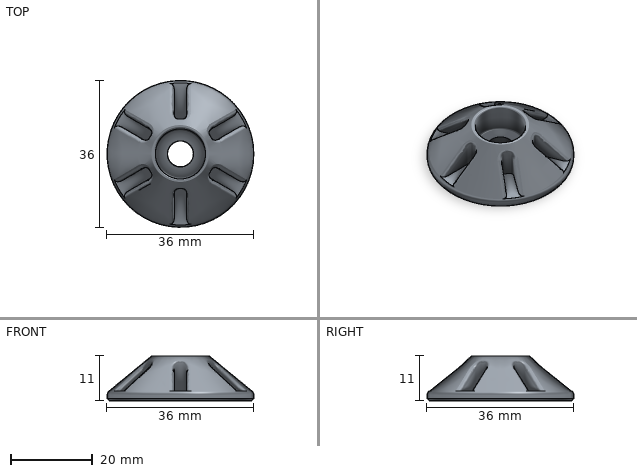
import cadquery as cq
import math

outer_radius = 18.0
height = 11.0

bottom_chamfer = 0.6
shoulder_height = 2.4
shoulder_radius = 17.5

cone_top_radius = 7.02
rim_outer_round = 0.32
rim_inner_round = 0.45

bore_radius = 12.3 / 2
bore_floor_height = 4.0
bore_floor_round = 0.45
hole_radius = 6.3 / 2

slot_count = 6
slot_floor_height = 2.5
slot_start_angle = 90.0
slot_width = 3.0
slot_inner_radius = 8.55
slot_corner_radius = 1.0
slot_edge_round = 1.0

trim_depth = 2.88
tolerance = 0.005
cone_slope = (shoulder_radius - cone_top_radius) / (height - shoulder_height)
slot_floor_rim_radius = shoulder_radius - cone_slope * (slot_floor_height - shoulder_height)

shoulder_arc_angle = math.atan(cone_slope)
shoulder_round = (outer_radius - shoulder_radius) / (1 - math.cos(shoulder_arc_angle))


def make_bore():
    """Through hole and counterbore, with a rounded floor corner and a flared rim."""
    floor_round_end = bore_floor_height + bore_floor_round
    rim_round_start = height - rim_inner_round
    return (
        cq.Workplane("XZ")
        .lineTo(hole_radius, 0)
        .lineTo(hole_radius, bore_floor_height)
        .lineTo(bore_radius - bore_floor_round, bore_floor_height)
        .radiusArc((bore_radius, floor_round_end), -bore_floor_round)
        .lineTo(bore_radius, rim_round_start)
        .radiusArc((bore_radius + rim_inner_round, height), rim_inner_round)
        .lineTo(0, height)
        .close()
        .revolve(360, (0, 0), (0, 1))
    )


def make_disc():
    """Base disc up to the slot floors, with a bottom chamfer and a rounded shoulder."""
    arc_center_radius = outer_radius - shoulder_round
    arc_start_height = shoulder_height - shoulder_round * math.sin(shoulder_arc_angle)
    arc_middle = (
        arc_center_radius + shoulder_round * math.cos(shoulder_arc_angle / 2),
        arc_start_height + shoulder_round * math.sin(shoulder_arc_angle / 2),
    )
    return (
        cq.Workplane("XZ")
        .lineTo(outer_radius - bottom_chamfer, 0)
        .lineTo(outer_radius, bottom_chamfer)
        .lineTo(outer_radius, arc_start_height)
        .threePointArc(arc_middle, (shoulder_radius, shoulder_height))
        .lineTo(slot_floor_rim_radius, slot_floor_height)
        .lineTo(0, slot_floor_height)
        .close()
        .revolve(360, (0, 0), (0, 1))
    )


def make_slot_cutter(angle):
    """Vertical prism open at the outside, with rounded inner corners."""
    length = 2 * outer_radius
    return (
        cq.Workplane("XY", origin=(0, 0, shoulder_height - 2 * trim_depth))
        .center(slot_inner_radius + length / 2, 0)
        .rect(length, slot_width)
        .extrude(2 * height)
        .edges("|Z and <X")
        .fillet(slot_corner_radius)
        .rotate((0, 0, 0), (0, 0, 1), angle)
    )


def make_slotted_cone():
    """Bored cone with a rounded top edge and rounded slots, trimmed at the slot floor."""
    low_height = shoulder_height - trim_depth
    low_radius = shoulder_radius + trim_depth * cone_slope
    cone = (
        cq.Workplane("XZ")
        .moveTo(0, low_height)
        .lineTo(low_radius, low_height)
        .lineTo(cone_top_radius, height)
        .lineTo(0, height)
        .close()
        .revolve(360, (0, 0), (0, 1))
        .faces(">Z")
        .edges()
        .fillet(rim_outer_round)
        .cut(make_bore())
    )
    for index in range(slot_count):
        cone = cone.cut(make_slot_cutter(slot_start_angle + index * 360 / slot_count))

    slot_rims = [
        edge
        for edge in cone.faces("%CONE").edges().vals()
        if edge.geomType() != "CIRCLE"
        and edge.Center().z > low_height + tolerance
        and abs(edge.Center().y) > tolerance
    ]
    cone = cone.newObject(slot_rims).fillet(slot_edge_round)

    keep = (
        cq.Workplane("XY", origin=(0, 0, slot_floor_height))
        .circle(outer_radius)
        .extrude(height)
    )
    return cone.intersect(keep)


result = make_disc().cut(make_bore()).union(make_slotted_cone())